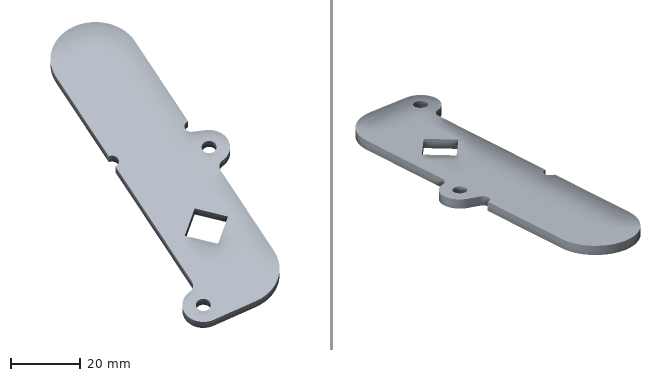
import cadquery as cq
import math

length = 110.0
width = 26.0
thickness = 3.0
half_width = width / 2

ear_radius = 6.0
ear_hole_diameter = 4.3
ear_offset = 14.0
ear_fillet = 3.0
upper_ear_x = 55.9
lower_ear_x = length - ear_radius

notch_x = 47.0
notch_radius = 2.0
window_x = 80.0
window_side = 10.0


def point_on_circle(center, radius, angle):
    return (center[0] + radius * math.cos(angle), center[1] + radius * math.sin(angle))


fillet_rise = half_width + ear_fillet - ear_offset
fillet_run = math.sqrt((ear_radius + ear_fillet) ** 2 - fillet_rise**2)
fillet_angle = math.atan2(fillet_rise, fillet_run)


def fillet_points(ear_x, x_side, y_side):
    """Return the edge end, middle and ear end of the fillet beside an ear."""
    center = (ear_x + x_side * fillet_run, y_side * (half_width + ear_fillet))
    angles = (-math.pi / 2, -math.pi * 3 / 4 + fillet_angle / 2, -math.pi + fillet_angle)
    return [
        (
            center[0] + x_side * ear_fillet * math.cos(angle),
            center[1] + y_side * ear_fillet * math.sin(angle),
        )
        for angle in angles
    ]


upper_notch = (notch_x, half_width)
upper_ear = (upper_ear_x, ear_offset)
center_distance = math.dist(upper_notch, upper_ear)
center_angle = math.atan2(upper_ear[1] - upper_notch[1], upper_ear[0] - upper_notch[0])
flank_angle = center_angle - math.acos((notch_radius + ear_radius) / center_distance)
flank_bottom = point_on_circle(upper_notch, notch_radius, flank_angle)
flank_top = point_on_circle(upper_ear, ear_radius, flank_angle + math.pi)

upper_edge_end, upper_fillet_mid, upper_ear_end = fillet_points(upper_ear_x, 1, 1)
lower_edge_end, lower_fillet_mid, lower_ear_end = fillet_points(lower_ear_x, -1, -1)
corner_center = (length - half_width, 0)

outline = (
    cq.Workplane("XY")
    .moveTo(half_width, -half_width)
    .threePointArc((0, 0), (half_width, half_width))
    .lineTo(notch_x - notch_radius, half_width)
    .threePointArc((notch_x, half_width - notch_radius), flank_bottom)
    .lineTo(*flank_top)
    .threePointArc((upper_ear_x, ear_offset + ear_radius), upper_ear_end)
    .threePointArc(upper_fillet_mid, upper_edge_end)
    .lineTo(corner_center[0], half_width)
    .threePointArc(point_on_circle(corner_center, half_width, math.pi / 4), (length, 0))
    .lineTo(length, -ear_offset)
    .threePointArc((lower_ear_x, -ear_offset - ear_radius), lower_ear_end)
    .threePointArc(lower_fillet_mid, lower_edge_end)
    .lineTo(notch_x + notch_radius, -half_width)
    .threePointArc((notch_x, notch_radius - half_width), (notch_x - notch_radius, -half_width))
    .close()
)
plate = outline.extrude(thickness)

ear_holes = (
    cq.Workplane("XY")
    .pushPoints([upper_ear, (lower_ear_x, -ear_offset)])
    .circle(ear_hole_diameter / 2)
    .extrude(thickness)
)
window = (
    cq.Workplane("XY")
    .center(window_x, 0)
    .transformed(rotate=(0, 0, 45))
    .rect(window_side, window_side)
    .extrude(thickness)
)

result = plate.cut(ear_holes).cut(window)